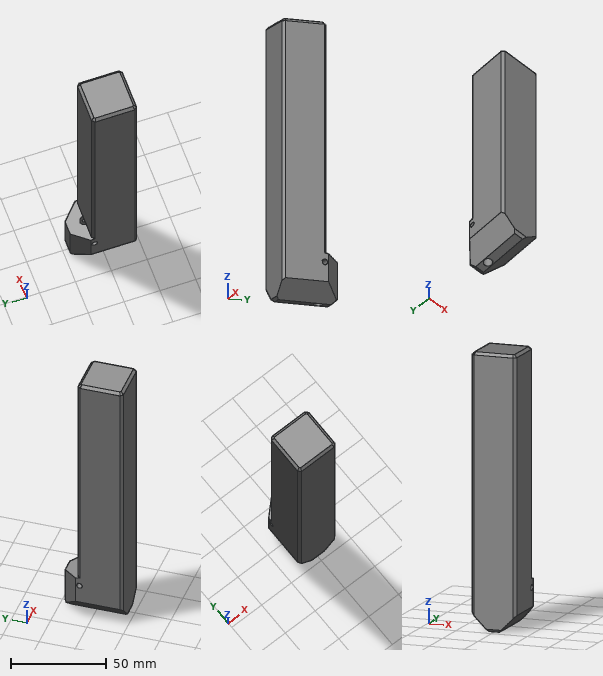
import cadquery as cq
import math

height = 150.0
width = 25.0
depth = 34.5
edge_chamfer = 1.5
heel_back_height = 22.5
heel_slope = math.radians(15)
heel_corner_chamfer = 8.5
bottom_side_chamfer = 9.8
bottom_back_chamfer = 3.0
cross_hole_diameter = 3.0
cross_hole_y = 23.8
cross_hole_z = 20.2
upright_hole_diameter = 5.0

half_width = width / 2
heel_rise = math.tan(heel_slope)
heel_junction_z = heel_back_height + (depth - width) * heel_rise
heel_front_z = heel_back_height + depth * heel_rise


def make_shank():
    """Square bar with chamfered upright edges and top rim."""
    bar = cq.Workplane("XY").box(width, width, height, centered=(True, False, False))
    return bar.edges("|Z").chamfer(edge_chamfer).faces(">Z").edges().chamfer(edge_chamfer)


def make_foot():
    """Lower block with a sloping top and the heel projecting toward +Y."""
    profile = [
        (0, 0),
        (depth, 0),
        (depth, heel_back_height),
        (0, heel_front_z),
    ]
    block = cq.Workplane("YZ").polyline(profile).close().extrude(half_width, both=True)
    block = block.edges("|Z and <Y").chamfer(edge_chamfer)
    return block.edges("|Z and >Y").chamfer(heel_corner_chamfer)


def make_side_envelope():
    """Side silhouette that bevels the front and back bottom edges."""
    profile = [
        (edge_chamfer, 0),
        (depth - bottom_back_chamfer, 0),
        (depth, bottom_back_chamfer),
        (depth, height),
        (0, height),
        (0, edge_chamfer),
    ]
    return cq.Workplane("YZ").polyline(profile).close().extrude(half_width, both=True)


def make_front_envelope():
    """Front silhouette with large bevels along both bottom sides."""
    tip_half_width = half_width - bottom_side_chamfer
    profile = [
        (-tip_half_width, 0),
        (tip_half_width, 0),
        (half_width, bottom_side_chamfer),
        (half_width, height),
        (-half_width, height),
        (-half_width, bottom_side_chamfer),
    ]
    return cq.Workplane("XZ").polyline(profile).close().extrude(-depth)


body = make_shank().union(make_foot())
body = body.intersect(make_side_envelope()).intersect(make_front_envelope())

cross_hole = (
    cq.Workplane("YZ")
    .center(cross_hole_y, cross_hole_z)
    .circle(cross_hole_diameter / 2)
    .extrude(half_width, both=True)
)

upright_hole = (
    cq.Workplane("XY")
    .center(0, width)
    .circle(upright_hole_diameter / 2)
    .extrude(heel_junction_z)
)

result = body.cut(cross_hole).cut(upright_hole)